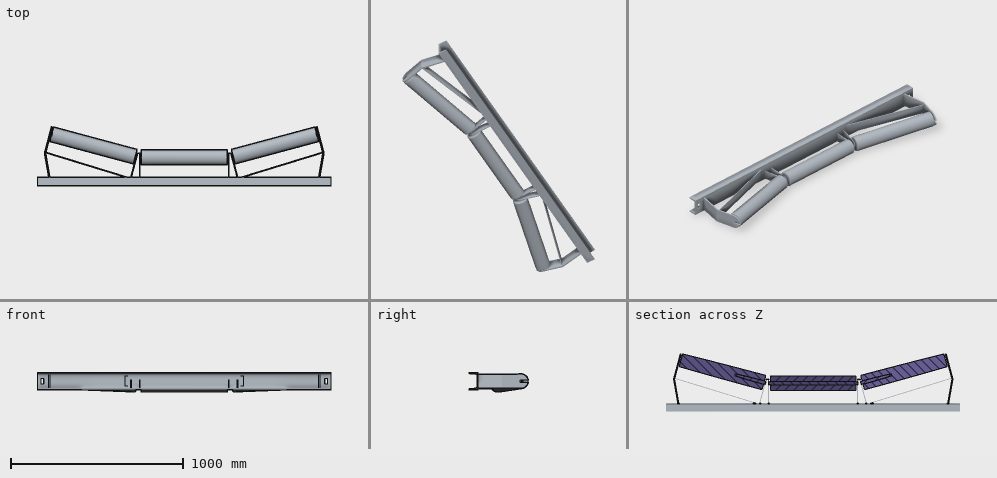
import cadquery as cq
import math


BEAM_LENGTH = 1700.0
BEAM_HEIGHT = 100.0
BEAM_DEPTH = 51.0
WEB_THICKNESS = 5.0
FLANGE_TIP = 7.0
FLANGE_TAPER = 0.08
FLANGE_ROOT_RADIUS = 8.0
FLANGE_TIP_RADIUS = 3.0
MOUNT_SLOT_X = 821.0
MOUNT_SLOT_WIDTH = 15.0
MOUNT_SLOT_HEIGHT = 30.0

ROLLER_RADIUS = 45.0
ROLLER_LENGTH = 500.0
ROLLER_EDGE_RADIUS = 3.0
SHAFT_DIAMETER = 17.0
SHAFT_FLAT_WIDTH = 15.0
END_GAP = 5.0
MIDDLE_AXIS_Y = 115.0
MIDDLE_AXIS_Z = -19.5
WING_CENTRE_X = 525.0
WING_CENTRE_Y = 184.0
WING_ANGLE = 15.0
WING_DROP = 2.2

OUTER_WIDTH = 82.0
INNER_WIDTH = 51.0
INNER_THICKNESS = 5.0
INNER_BEND_RADIUS = 5.0
OUTER_THICKNESS = 8.0
OUTER_KINK_Y = 140.0
OUTER_FOOT_X = 785.0
OUTER_BEND_RADIUS = 10.0
OUTER_TOP_OFFSET = 2.0
BRACE_WIDTH = 58.0
BRACE_TOP_Y = 145.0
BRACE_THICKNESS = 4.2
BRACE_FOOT_X = 328.0

WING_COS = math.cos(math.radians(WING_ANGLE))
WING_SIN = math.sin(math.radians(WING_ANGLE))
WING_TAN = WING_SIN / WING_COS

WING_CENTRE_Z = -ROLLER_LENGTH / 2 * math.sin(math.radians(WING_DROP))
PLATE_REACH = ROLLER_LENGTH / 2 + END_GAP


def wing_point(along, up=0.0):
    """XY point at a distance along the right wing axis and square to it."""
    return (
        WING_CENTRE_X + along * WING_COS - up * WING_SIN,
        WING_CENTRE_Y + along * WING_SIN + up * WING_COS,
    )


def plate_x(along, y):
    """X of a plate face, square to the right wing axis, at height y."""
    face_x, face_y = wing_point(along)
    return face_x - (y - face_y) * WING_TAN


def extrude_across(points, width, middle_z=0.0):
    """Extrude an XY outline symmetrically about a height Z."""
    return cq.Workplane("XY", origin=(0, 0, middle_z - width / 2)).polyline(points).close().extrude(width)


def wing_plane(side):
    """Plane square to the wing axis on one side (1 right, -1 left), facing outwards."""
    drop = math.radians(WING_DROP)
    axis = (side * WING_COS * math.cos(drop), WING_SIN * math.cos(drop), math.sin(drop))
    return cq.Plane(
        origin=(side * WING_CENTRE_X, WING_CENTRE_Y, WING_CENTRE_Z),
        xDir=(side * WING_SIN, -WING_COS, 0),
        normal=axis,
    )


def middle_plane():
    """Plane square to the middle axis: local X points to -Y, local Z along the axis."""
    return cq.Plane(origin=(0, MIDDLE_AXIS_Y, MIDDLE_AXIS_Z), xDir=(0, -1, 0), normal=(1, 0, 0))


def make_shaft(plane, near_thickness, far_thickness):
    """Shaft with two flats, ending flush with the far faces of the plates that carry it."""
    start = PLATE_REACH + near_thickness
    length = start + PLATE_REACH + far_thickness
    base = cq.Workplane(plane).workplane(offset=-start)
    bar = base.circle(SHAFT_DIAMETER / 2).extrude(length)
    flats = base.rect(SHAFT_DIAMETER, SHAFT_FLAT_WIDTH).extrude(length)
    return bar.intersect(flats)


def make_roller(plane, shaft):
    """Cylinder with rounded rims and a bore that matches its shaft."""
    start = cq.Workplane(plane).workplane(offset=-ROLLER_LENGTH / 2)
    roller = start.circle(ROLLER_RADIUS).extrude(ROLLER_LENGTH)
    return roller.edges("%CIRCLE").fillet(ROLLER_EDGE_RADIUS).cut(shaft)


def make_beam():
    """Channel with two mounting slots through its web."""
    half = BEAM_HEIGHT / 2
    inside_depth = BEAM_DEPTH - WEB_THICKNESS
    tip_z = half - FLANGE_TIP
    root_z = tip_z - FLANGE_TAPER * inside_depth
    profile = [
        (0, -half), (0, half), (-BEAM_DEPTH, half), (-BEAM_DEPTH, tip_z),
        (-WEB_THICKNESS, root_z), (-WEB_THICKNESS, -root_z),
        (-BEAM_DEPTH, -tip_z), (-BEAM_DEPTH, -half),
    ]
    end = cq.Workplane("YZ", origin=(-BEAM_LENGTH / 2, 0, 0))
    beam = end.polyline(profile).close().extrude(BEAM_LENGTH)
    for sign in (-1, 1):
        root = cq.selectors.NearestToPointSelector((0, -WEB_THICKNESS, sign * root_z))
        beam = beam.edges("|X").edges(root).fillet(FLANGE_ROOT_RADIUS)
        tip = cq.selectors.NearestToPointSelector((0, -BEAM_DEPTH, sign * tip_z))
        beam = beam.edges("|X").edges(tip).fillet(FLANGE_TIP_RADIUS)
    slots = (
        cq.Workplane("XZ")
        .pushPoints([(-MOUNT_SLOT_X, 0), (MOUNT_SLOT_X, 0)])
        .rect(MOUNT_SLOT_WIDTH, MOUNT_SLOT_HEIGHT)
        .extrude(BEAM_DEPTH)
    )
    return beam.cut(slots)


def inner_outline(inset, height):
    """Four-sided outline between the two legs, drawn in from their outer faces."""
    middle_leg = PLATE_REACH + inset
    wing_leg = -PLATE_REACH - inset
    return [
        (middle_leg, 0), (middle_leg, height),
        (plate_x(wing_leg, height), height), (plate_x(wing_leg, 0), 0),
    ]


def make_inner_bracket():
    """Bent strip with a round top, one leg by each of two neighbouring rollers."""
    radius = INNER_WIDTH / 2
    height = MIDDLE_AXIS_Y + radius
    outside = extrude_across(inner_outline(0, height), INNER_WIDTH, MIDDLE_AXIS_Z)
    outside = outside.edges("|Z and >Y").fillet(INNER_BEND_RADIUS)
    inside_outline = inner_outline(INNER_THICKNESS, height - INNER_THICKNESS)
    bracket = outside.cut(extrude_across(inside_outline, INNER_WIDTH, MIDDLE_AXIS_Z))
    round_top = (
        cq.Workplane("YZ", origin=(0, 0, MIDDLE_AXIS_Z))
        .moveTo(0, -radius)
        .lineTo(MIDDLE_AXIS_Y, -radius)
        .threePointArc((height, 0), (MIDDLE_AXIS_Y, radius))
        .lineTo(0, radius)
        .close()
        .extrude(BEAM_LENGTH / 2)
    )
    return bracket.intersect(round_top)


def make_outer_bracket():
    """Kinked plate beside the outer end of the right wing roller."""
    inner_face = PLATE_REACH
    outer_face = PLATE_REACH + OUTER_THICKNESS
    foot_slope = (plate_x(outer_face, OUTER_KINK_Y) - OUTER_FOOT_X) / OUTER_KINK_Y
    foot_width = OUTER_THICKNESS * math.hypot(1, foot_slope)
    top = OUTER_TOP_OFFSET + OUTER_WIDTH / 2
    plate = extrude_across(
        [
            (OUTER_FOOT_X, 0), (plate_x(outer_face, OUTER_KINK_Y), OUTER_KINK_Y),
            wing_point(outer_face, top), wing_point(inner_face, top),
            (plate_x(inner_face, OUTER_KINK_Y), OUTER_KINK_Y), (OUTER_FOOT_X - foot_width, 0),
        ],
        OUTER_WIDTH,
    )
    outside_bend = plate.edges("|Z and >X")
    return outside_bend.fillet(OUTER_BEND_RADIUS)


def shape_top(bracket):
    """Round the top of the outer bracket and open a slot from the shaft upwards."""
    plane = cq.Plane(
        origin=(WING_CENTRE_X, WING_CENTRE_Y, 0),
        xDir=(-WING_SIN, WING_COS, 0),
        normal=(WING_COS, WING_SIN, 0),
    )
    radius = OUTER_WIDTH / 2
    keep = (
        cq.Workplane(plane)
        .moveTo(-BEAM_LENGTH, -radius)
        .lineTo(OUTER_TOP_OFFSET, -radius)
        .threePointArc((OUTER_TOP_OFFSET + radius, 0), (OUTER_TOP_OFFSET, radius))
        .lineTo(-BEAM_LENGTH, radius)
        .close()
        .extrude(BEAM_LENGTH)
    )
    slot = (
        cq.Workplane(plane)
        .center(radius, 0)
        .rect(2 * radius, SHAFT_FLAT_WIDTH)
        .extrude(BEAM_LENGTH)
    )
    return bracket.intersect(keep).cut(slot)


def make_brace():
    """Sloping flat bar from the beam to the outer bracket, just above its kink."""
    top_x = plate_x(PLATE_REACH, BRACE_TOP_Y)
    slope = math.atan2(BRACE_TOP_Y, top_x - BRACE_FOOT_X)
    foot_width = BRACE_THICKNESS / math.sin(slope)
    rise = BRACE_THICKNESS / math.cos(slope)
    return extrude_across(
        [
            (BRACE_FOOT_X, 0), (BRACE_FOOT_X + foot_width, 0),
            (top_x, BRACE_TOP_Y - rise), (top_x, BRACE_TOP_Y),
        ],
        BRACE_WIDTH,
    )


def make_frame(shafts):
    """Beam with all brackets and braces welded on, bored to match the shafts."""
    right_side = shape_top(make_outer_bracket()).union(make_brace()).union(make_inner_bracket())
    frame = make_beam().union(right_side).union(right_side.mirror("YZ"))
    for shaft in shafts:
        frame = frame.cut(shaft)
    return frame


stations = [
    (wing_plane(-1), INNER_THICKNESS, OUTER_THICKNESS),
    (middle_plane(), INNER_THICKNESS, INNER_THICKNESS),
    (wing_plane(1), INNER_THICKNESS, OUTER_THICKNESS),
]
shafts = []
rollers = []
for plane, near_thickness, far_thickness in stations:
    shaft = make_shaft(plane, near_thickness, far_thickness)
    shafts.append(shaft)
    rollers.append(make_roller(plane, shaft))

frame = make_frame(shafts)

result = cq.Compound.makeCompound([
    frame.solids().val(),
    *[roller.solids().val() for roller in rollers],
    *[shaft.solids().val() for shaft in shafts],
])